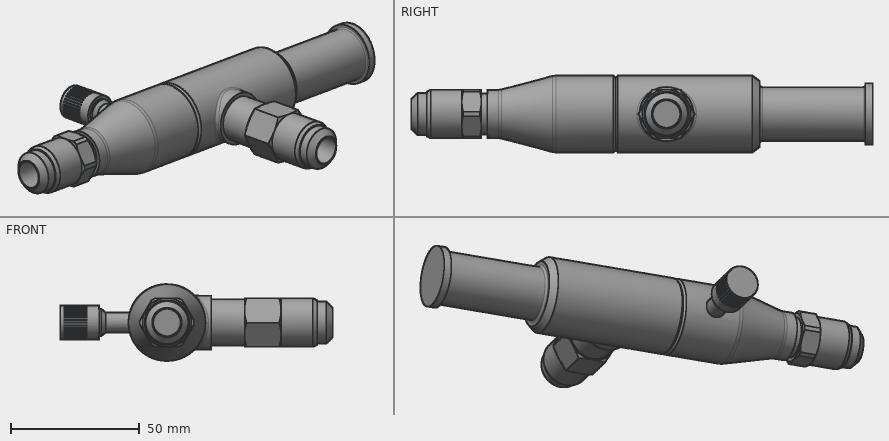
import cadquery as cq
import math


overall_length = 179.5
body_radius = 30.0 / 2
flange_radius = 24.0 / 2
flange_thickness = 3.0
tube_radius = 21.0 / 2
flange_fillet = 0.5
body_top = 135.5
tube_fillet = 0.9
body_top_chamfer = (2.2, 2.9)
groove_center = 79.5
groove_half_width = 0.9
groove_depth = 0.9
taper_start = 55.5
body_edge_round = 5.4
taper_end = 34.5
taper_foot_round = 4.5
collar_radius = 18.8 / 2
collar_end = 29.6
neck_radius = 16.0 / 2
inlet_nut_top = 27.3

thread_radius = 19.0 / 2
thread_chamfer = 1.6
seat_radius = 16.5 / 2
bore_radius = 10.5 / 2
seat_chamfer = 2.5
seat_length = 6.1
bore_depth = 27.0
nut_across_flats = 19.0
nut_across_corners = nut_across_flats / math.cos(math.pi / 6)
inlet_nut_length = 7.5
inlet_nut_corner_radius = 21.0 / 2

branch_y = 99.2
branch_end = 64.5
branch_saddle_radius = 21.0 / 2
branch_saddle_end = 17.2
branch_saddle_fillet = 1.0
branch_tube_radius = 18.1 / 2
branch_nut_start = 30.1
branch_nut_end = 44.3

port_y = 66.2
port_stem_radius = 7.9 / 2
cap_radius = 13.3 / 2
cap_shoulder_radius = 10.5 / 2
cap_end = 41.5
cap_start = 26.4
cap_shoulder_end = 25.5
cap_taper_end = 23.9
knurl_bands = ((31.2, 35.7), (36.0, 39.8))
knurl_count = 36
knurl_width = 0.27
knurl_depth = 0.27

edge_margin = 0.2


def revolve_profile(points):
    """Turn (radius, height) points, closed on the axis, around Z."""
    profile = cq.Workplane("XZ").polyline([(0, points[0][1])] + points + [(0, points[-1][1])]).close()
    return profile.revolve(360, (0, 0, 0), (0, 1, 0))


def round_circle(shape, height, radius, round_radius):
    """Fillet the circular edge of the given radius at one height on the Z axis."""
    reach = radius + edge_margin
    around_edge = cq.selectors.BoxSelector(
        (-reach, -reach, height - edge_margin),
        (reach, reach, height + edge_margin),
        boundingbox=True,
    )
    return shape.edges(around_edge).edges("%CIRCLE").fillet(round_radius)


def fitting_end(length):
    """Flare fitting with its open end at Z = 0, running up to Z = length."""
    return revolve_profile([
        (seat_radius - seat_chamfer, 0),
        (seat_radius, seat_chamfer),
        (seat_radius, seat_length),
        (thread_radius - thread_chamfer / 2, seat_length),
        (thread_radius, seat_length + thread_chamfer),
        (thread_radius, length),
    ])


def nut(length, corner_radius):
    """Hexagon along Z, corners on the X axis, turned to corner_radius with coned ends."""
    hexagon = cq.Workplane("XY").polygon(6, nut_across_corners).extrude(length)
    end_radius = nut_across_flats / 2
    cone_length = (corner_radius - end_radius) / 2
    turned_limit = revolve_profile([
        (end_radius, 0),
        (corner_radius, cone_length),
        (corner_radius, length - cone_length),
        (end_radius, length),
    ])
    return hexagon.intersect(turned_limit)


def fitting_bore():
    return cq.Workplane("XY").circle(bore_radius).extrude(bore_depth)


def along_y(shape):
    """Turn a Z-axis shape so that Z becomes Y and X stays X."""
    return shape.rotate((0, 0, 0), (1, 0, 0), -90)


def along_x(shape, direction, y):
    """Turn a Z-axis shape so that Z becomes +X or -X, at height y."""
    return shape.rotate((0, 0, 0), (0, 1, 0), 90 * direction).translate((0, y, 0))


def main_body():
    chamfer_radial, chamfer_axial = body_top_chamfer
    flange_bottom = overall_length - flange_thickness
    body = revolve_profile([
        (neck_radius, inlet_nut_top),
        (neck_radius, collar_end),
        (collar_radius, collar_end),
        (collar_radius, taper_end),
        (body_radius, taper_start),
        (body_radius, groove_center - groove_half_width),
        (body_radius - groove_depth, groove_center),
        (body_radius, groove_center + groove_half_width),
        (body_radius, body_top - chamfer_axial),
        (body_radius - chamfer_radial, body_top),
        (tube_radius, body_top),
        (tube_radius, flange_bottom),
        (flange_radius, flange_bottom),
        (flange_radius, overall_length),
    ])
    rounds = (
        (taper_end, collar_radius, taper_foot_round),
        (taper_start, body_radius, body_edge_round),
        (body_top, tube_radius, tube_fillet),
        (flange_bottom, tube_radius, flange_fillet),
    )
    for height, radius, round_radius in rounds:
        body = round_circle(body, height, radius, round_radius)
    return body


def inlet_fitting():
    inlet_nut = nut(inlet_nut_length, inlet_nut_corner_radius)
    nut_bottom = inlet_nut_top - inlet_nut_length
    return fitting_end(nut_bottom).union(inlet_nut.translate((0, 0, nut_bottom)))


def branch():
    saddle = revolve_profile([
        (branch_saddle_radius, 0),
        (branch_saddle_radius, branch_saddle_end),
        (branch_tube_radius, branch_saddle_end),
        (branch_tube_radius, branch_nut_start),
    ])
    nut_length = branch_nut_end - branch_nut_start
    branch_nut = nut(nut_length, nut_across_corners / 2).rotate((0, 0, 0), (0, 0, 1), 90)
    fitting = fitting_end(branch_end - branch_nut_end).mirror("XY").translate((0, 0, branch_end))
    return saddle.union(branch_nut.translate((0, 0, branch_nut_start))).union(fitting)


def gauge_port():
    port = revolve_profile([
        (port_stem_radius, 0),
        (port_stem_radius, cap_taper_end),
        (cap_shoulder_radius, cap_shoulder_end),
        (cap_shoulder_radius, cap_start),
        (cap_radius, cap_start),
        (cap_radius, cap_end),
    ])
    for start, end in knurl_bands:
        cutters = (
            cq.Workplane("XY", origin=(0, 0, start))
            .polarArray(cap_radius, 0, 360, knurl_count)
            .rect(2 * knurl_depth, knurl_width)
            .extrude(end - start)
        )
        port = port.cut(cutters)
    return port


def fillet_saddle(shape):
    """Blend the curve where the branch saddle meets the body cylinder."""
    reach = branch_saddle_radius + edge_margin
    around_curve = cq.selectors.BoxSelector(
        (neck_radius, branch_y - reach, -reach),
        (body_radius + edge_margin, branch_y + reach, reach),
    )
    return shape.edges(around_curve).fillet(branch_saddle_fillet)


body_with_branch = fillet_saddle(along_y(main_body()).union(along_x(branch(), 1, branch_y)))
outside = body_with_branch.union(along_y(inlet_fitting())).union(along_x(gauge_port(), -1, port_y))
branch_bore = fitting_bore().mirror("XY").translate((0, 0, branch_end))
result = outside.cut(along_y(fitting_bore())).cut(along_x(branch_bore, 1, branch_y))